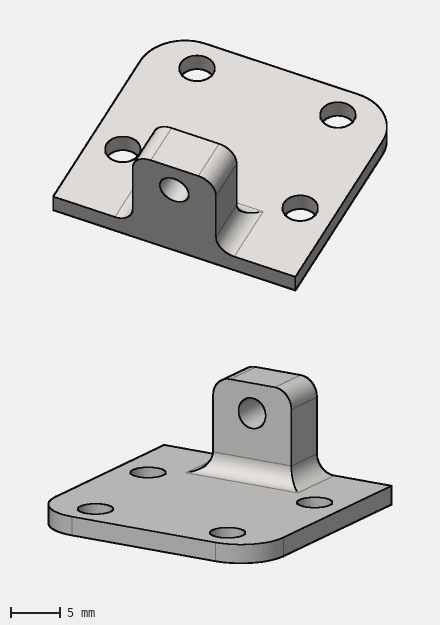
import cadquery as cq

plate_width = 27.0
plate_depth = 26.0
plate_thickness = 2.0
rear_corner_radius = 5.0

mount_hole_diameter = 3.6
rear_hole_spacing = 15.7
rear_hole_y = 22.5
front_hole_spacing = 19.76
front_hole_y = 9.0

overall_height = 12.0
lug_width = 9.3
lug_thickness = 5.0
lug_top_radius = 2.0
lug_base_fillet = 2.0
lug_hole_diameter = 3.2
lug_hole_z = 8.8


def make_plate():
    """Flat plate with its two rear corners rounded."""
    plate = cq.Workplane("XY").box(
        plate_width, plate_depth, plate_thickness, centered=(True, False, False)
    )
    return plate.edges("|Z and >Y").fillet(rear_corner_radius)


def make_lug():
    """Upright block with rounded top corners."""
    lug = cq.Workplane("XY").box(
        lug_width, lug_thickness, overall_height, centered=(True, False, False)
    )
    return lug.edges("|Y and >Z").fillet(lug_top_radius)


def fillet_lug_base(body):
    """Blend the sides and back of the lug into the top of the plate."""
    margin = 0.27
    base_edges = cq.selectors.BoxSelector(
        (-lug_width / 2 - margin, -margin, plate_thickness - margin),
        (lug_width / 2 + margin, lug_thickness + margin, plate_thickness + margin),
    )
    return body.edges(base_edges).fillet(lug_base_fillet)


def make_mount_holes():
    """Cutters for the front and rear pairs of mounting holes."""
    centres = []
    for spacing, y in ((front_hole_spacing, front_hole_y), (rear_hole_spacing, rear_hole_y)):
        for side in (-1, 1):
            centres.append((side * spacing / 2, y))
    return (
        cq.Workplane("XY")
        .pushPoints(centres)
        .circle(mount_hole_diameter / 2)
        .extrude(plate_thickness)
    )


def make_lug_hole():
    """Cutter for the cross hole running front to back through the lug."""
    return (
        cq.Workplane("XZ")
        .center(0, lug_hole_z)
        .circle(lug_hole_diameter / 2)
        .extrude(-lug_thickness)
    )


bracket = fillet_lug_base(make_plate().union(make_lug()))
result = bracket.cut(make_mount_holes()).cut(make_lug_hole())